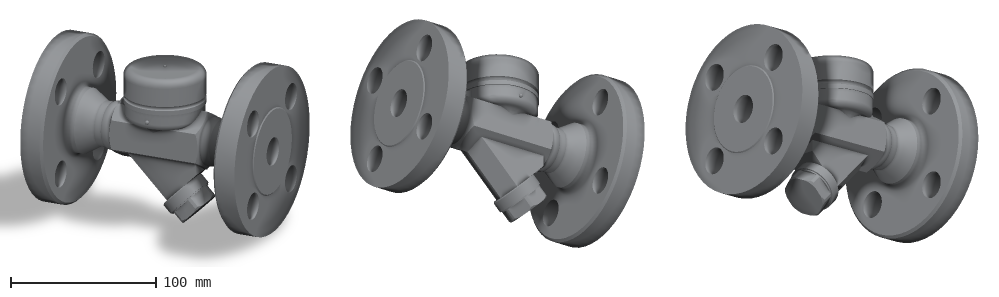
import cadquery as cq
import math

overall_length = 165.0
flange_diameter = 120.0
flange_inner_x = 65.2
flange_chamfer = 1.8
raised_face_height = 0.7
raised_face_diameter = 60.4
raised_face_root_diameter = 62.0
bolt_hole_diameter = 19.0
bolt_circle_diameter = 85.5
bolt_count = 4
bore_diameter = 20.0

hub_radius = 23.1
hub_fillet = 3.5
hub_taper_start_x = 58.4
neck_diameter = 32.0
neck_outer_x = 46.7
neck_inner_x = 41.4
collar_diameter = 34.0
bead_crest_x = 37.3
bead_crest_radius = 17.3

block_half_length = 34.6
block_across_flats = 37.0
hexagon_corner_ratio = 1 / math.cos(math.radians(30))
block_end_angle = 30.0

lug_width = 10.0
lug_top_z = 22.5
lug_flare_start_x = -30.5
lug_fillet = 3.6

bowl_diameter = 56.0
bowl_fillet = 4.6
bowl_floor_z = 11.4
bowl_foot_radius = block_across_flats / 2
stud_diameter = 3.0
stud_z = 17.5
stud_reach_y = 29.9
cap_diameter = 57.5
cap_bottom_z = 24.0
cap_top_z = 48.8
cap_fillet = 5.5
cap_groove_bottom_z = 27.0
cap_groove_top_z = 30.0
cap_groove_depth = 1.3
nub_diameter = 1.8
nub_height = 1.2

arm_angle = 45.0
arm_axis_offset = 18.0
arm_end = 36.5
arm_width = 25.4
arm_corner_radius = 14.8
arm_underside_angle = 30.0
arm_right_x = 29.7
plug_collar_length = 8.2
plug_collar_chamfer = 0.7
plug_neck_diameter = 32.0
plug_neck_length = 1.0
head_length = 9.2
head_across_flats = 29.2
head_corner_diameter = 32.5
head_chamfer = 1.3


def round_mid(start, end, corner):
    """Middle point of a quarter-circle round that replaces the corner between start and end."""
    bend = math.sqrt(0.5)
    centre = [a + b - c for a, b, c in zip(start, end, corner)]
    return tuple(m + bend * (c - m) for m, c in zip(centre, corner))


def revolve_about_x(profile):
    return profile.close().revolve(360, (0, 0, 0), (1, 0, 0))


def revolve_about_z(profile):
    return profile.close().revolve(360, (0, 0, 0), (0, 1, 0))


def flange_and_neck():
    """The +X flange with its raised face, tapered hub, neck and bore."""
    end_x = overall_length / 2
    face_x = end_x - raised_face_height
    flange_radius = flange_diameter / 2
    fillet_start = (flange_inner_x, hub_radius + hub_fillet)
    fillet_end = (flange_inner_x - hub_fillet, hub_radius)
    fillet_mid = round_mid(fillet_start, fillet_end, (flange_inner_x, hub_radius))
    solid = revolve_about_x(
        cq.Workplane("XY")
        .moveTo(0, 0)
        .lineTo(end_x, 0)
        .lineTo(end_x, raised_face_diameter / 2)
        .lineTo(face_x, raised_face_root_diameter / 2)
        .lineTo(face_x, flange_radius)
        .lineTo(flange_inner_x + flange_chamfer, flange_radius)
        .lineTo(flange_inner_x, flange_radius - flange_chamfer)
        .lineTo(*fillet_start)
        .threePointArc(fillet_mid, fillet_end)
        .lineTo(hub_taper_start_x, hub_radius)
        .lineTo(neck_outer_x, neck_diameter / 2)
        .lineTo(neck_inner_x, neck_diameter / 2)
        .threePointArc((bead_crest_x, bead_crest_radius), (block_half_length, collar_diameter / 2))
        .lineTo(0, collar_diameter / 2)
    )
    face = cq.Workplane("YZ", origin=(end_x, 0, 0))
    bolt_holes = (
        face.polarArray(bolt_circle_diameter / 2, 45, 360, bolt_count)
        .circle(bolt_hole_diameter / 2)
        .extrude(flange_inner_x - end_x)
    )
    bore = face.circle(bore_diameter / 2).extrude(block_half_length - end_x)
    return solid.cut(bolt_holes).cut(bore)


def block_envelope():
    """Round envelope whose coned ends chamfer the centre block and its lug."""
    outer_radius = lug_top_z + lug_width
    run = (outer_radius - collar_diameter / 2) * math.tan(math.radians(block_end_angle))
    return revolve_about_x(
        cq.Workplane("XY")
        .moveTo(-block_half_length, 0)
        .lineTo(-block_half_length, collar_diameter / 2)
        .lineTo(run - block_half_length, outer_radius)
        .lineTo(block_half_length - run, outer_radius)
        .lineTo(block_half_length, collar_diameter / 2)
        .lineTo(block_half_length, 0)
    )


def centre_block():
    """Hexagonal block along X, with corners up and down, flats front and back."""
    return (
        cq.Workplane("YZ", origin=(-block_half_length, 0, 0))
        .transformed(rotate=(0, 0, 90))
        .polygon(6, block_across_flats * hexagon_corner_ratio)
        .extrude(2 * block_half_length)
    )


def lug():
    """Lug with concave rounds that widen it toward the bowl."""
    narrow_y = lug_width / 2
    wide_y = narrow_y + lug_fillet
    wide_x = lug_flare_start_x + lug_fillet
    mid_x, mid_y = round_mid(
        (lug_flare_start_x, narrow_y), (wide_x, wide_y), (wide_x, narrow_y)
    )
    return (
        cq.Workplane("XY")
        .moveTo(-block_half_length, -narrow_y)
        .lineTo(lug_flare_start_x, -narrow_y)
        .threePointArc((mid_x, -mid_y), (wide_x, -wide_y))
        .lineTo(0, -wide_y)
        .lineTo(0, wide_y)
        .lineTo(wide_x, wide_y)
        .threePointArc((mid_x, mid_y), (lug_flare_start_x, narrow_y))
        .lineTo(-block_half_length, narrow_y)
        .close()
        .extrude(lug_top_z)
    )


def bowl():
    """Round bowl with a rounded lower edge, on a foot that flares out to the bowl floor."""
    radius = bowl_diameter / 2
    floor_radius = radius - bowl_fillet
    fillet_start = (floor_radius, bowl_floor_z)
    fillet_end = (radius, bowl_floor_z + bowl_fillet)
    fillet_mid = round_mid(fillet_start, fillet_end, (radius, bowl_floor_z))
    flare = floor_radius - bowl_foot_radius
    flare_start = (bowl_foot_radius, bowl_floor_z - flare)
    flare_mid = round_mid(flare_start, fillet_start, (bowl_foot_radius, bowl_floor_z))
    return revolve_about_z(
        cq.Workplane("XZ")
        .moveTo(0, bowl_floor_z - flare)
        .lineTo(*flare_start)
        .threePointArc(flare_mid, fillet_start)
        .threePointArc(fillet_mid, fillet_end)
        .lineTo(radius, cap_bottom_z)
        .lineTo(0, cap_bottom_z)
    )


def stud():
    """Small round stud on the front of the bowl."""
    stud_radius = stud_diameter / 2
    return cq.Workplane("XY").sphere(stud_radius).translate(
        (0, stud_radius - stud_reach_y, stud_z)
    )


def arm_plane(distance):
    """Plane across the arm axis; its local X is -Y and its local Y points down and to -X."""
    slope = math.radians(arm_angle)
    along = (math.cos(slope), 0, -math.sin(slope))
    origin = (
        distance * along[0] - arm_axis_offset * math.sin(slope),
        0,
        distance * along[2] - arm_axis_offset * math.cos(slope),
    )
    return cq.Workplane(cq.Plane(origin, xDir=(0, -1, 0), normal=along))


def strainer_arm():
    """Arm with flat sides and a V-shaped underside."""
    half_width = arm_width / 2
    shoulder = arm_corner_radius - half_width * math.tan(math.radians(arm_underside_angle))
    hidden_start = arm_corner_radius
    hidden_top = -2 * arm_corner_radius
    arm = (
        arm_plane(-hidden_start)
        .moveTo(0, arm_corner_radius)
        .lineTo(half_width, shoulder)
        .lineTo(half_width, hidden_top)
        .lineTo(-half_width, hidden_top)
        .lineTo(-half_width, shoulder)
        .close()
        .extrude(hidden_start + arm_end)
    )
    arm_limits = cq.Workplane("XY").box(
        overall_length, flange_diameter, flange_diameter, centered=(False, True, False)
    ).translate((arm_right_x - overall_length, 0, -flange_diameter))
    return arm.intersect(arm_limits)


def strainer_plug():
    """Round collar, short neck and hexagonal head at the end of the arm."""
    neck_start = arm_end + plug_collar_length
    head_start = neck_start + plug_neck_length
    collar = (
        arm_plane(arm_end)
        .circle(collar_diameter / 2)
        .extrude(plug_collar_length)
        .faces("<(1, 0, -1)")
        .chamfer(plug_collar_chamfer)
    )
    neck = arm_plane(neck_start).circle(plug_neck_diameter / 2).extrude(plug_neck_length)
    hexagon = (
        arm_plane(head_start)
        .transformed(rotate=(0, 0, 90))
        .polygon(6, head_across_flats * hexagon_corner_ratio)
        .extrude(head_length)
    )
    rounding = (
        arm_plane(head_start)
        .circle(head_corner_diameter / 2)
        .extrude(head_length)
        .faces(">(1, 0, -1)")
        .chamfer(head_chamfer)
    )
    return collar.union(neck).union(hexagon.intersect(rounding))


def make_housing():
    """Both flanged ends, the centre block, the bowl and the strainer arm with its plug."""
    right_end = flange_and_neck()
    left_end = right_end.mirror("YZ")
    block = centre_block().union(lug()).intersect(block_envelope())
    housing = block.union(bowl())
    housing = housing.union(strainer_arm()).union(strainer_plug()).union(stud())
    return housing.union(right_end).union(left_end)


def make_cap():
    """Domed cap with a rolled groove and a small nub on top."""
    radius = cap_diameter / 2
    fillet_start = (radius, cap_top_z - cap_fillet)
    fillet_end = (radius - cap_fillet, cap_top_z)
    fillet_mid = round_mid(fillet_start, fillet_end, (radius, cap_top_z))
    groove_mid = (radius - cap_groove_depth, (cap_groove_bottom_z + cap_groove_top_z) / 2)
    nub_top_z = cap_top_z + nub_height
    return revolve_about_z(
        cq.Workplane("XZ")
        .moveTo(0, cap_bottom_z)
        .lineTo(radius, cap_bottom_z)
        .lineTo(radius, cap_groove_bottom_z)
        .threePointArc(groove_mid, (radius, cap_groove_top_z))
        .lineTo(*fillet_start)
        .threePointArc(fillet_mid, fillet_end)
        .lineTo(nub_diameter / 2, cap_top_z)
        .lineTo(nub_diameter / 2, nub_top_z)
        .lineTo(0, nub_top_z)
    )


housing = make_housing()
cap = make_cap()
result = cq.Compound.makeCompound([housing.val(), cap.val()])